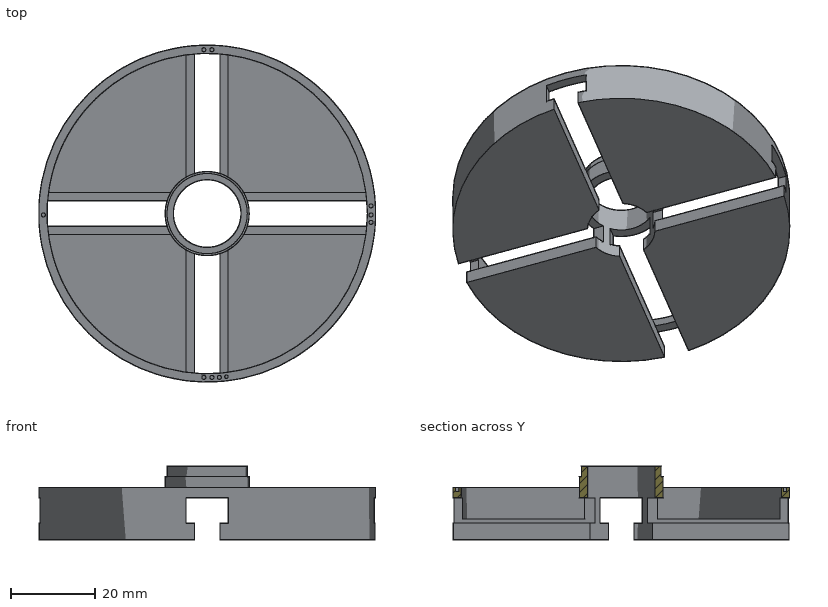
import cadquery as cq

rim_radius = 40.0
wall = 2.0
rim_height = 12.5

floor_height = 5.0

bore_radius = 8.0
hub_radius = bore_radius + wall
hub_step_radius = 9.5
hub_shoulder_height = 15.0
total_height = 17.5

slot_narrow_width = 6.0
slot_wide_width = 10.0
slot_ledge_height = 4.0
slot_top_height = 10.0

mark_radius = 0.5
small_mark_radius = 0.4
mark_depth = 1.0
mark_distance = 38.9
single_mark_offset = -0.3
right_mark_offsets = [1.8, single_mark_offset, -2.1]
back_mark_offsets = [-0.8, 1.1]
front_mark_offsets = back_mark_offsets + [2.9]
small_mark_offset = 4.6
small_mark_distance = 38.7


def disc(radius, height):
    """Solid disc standing on the base plane."""
    return cq.Workplane("XY").circle(radius).extrude(height)


def slot_layer(width, bottom, top):
    """Cross of two bars spanning the whole part between two heights."""
    length = 2 * rim_radius + 2 * wall
    plane = cq.Workplane("XY").workplane(offset=bottom)
    return plane.rect(length, width).extrude(top - bottom).union(
        plane.rect(width, length).extrude(top - bottom)
    )


def marks(points, radius):
    """Blind round holes sunk from the top of the rim."""
    plane = cq.Workplane("XY").workplane(offset=rim_height)
    return plane.pushPoints(points).circle(radius).extrude(-mark_depth)


body = disc(rim_radius, rim_height)
inside = disc(rim_radius - wall, rim_height).translate((0, 0, floor_height))
body = body.cut(inside)

body = body.union(disc(hub_radius, hub_shoulder_height))
body = body.union(disc(hub_step_radius, total_height))
body = body.cut(disc(bore_radius, total_height))

body = body.cut(slot_layer(slot_narrow_width, 0, slot_ledge_height))
body = body.cut(slot_layer(slot_wide_width, slot_ledge_height, slot_top_height))

mark_points = [(-mark_distance, single_mark_offset)]
mark_points += [(mark_distance, y) for y in right_mark_offsets]
mark_points += [(x, mark_distance) for x in back_mark_offsets]
mark_points += [(x, -mark_distance) for x in front_mark_offsets]
body = body.cut(marks(mark_points, mark_radius))
body = body.cut(marks([(small_mark_offset, -small_mark_distance)], small_mark_radius))

result = body